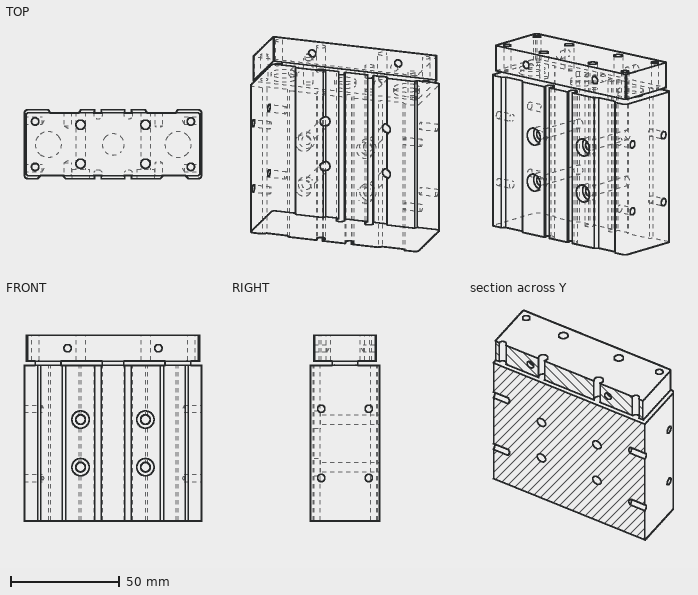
import cadquery as cq
import math

housing_width = 82.0
housing_depth = 32.0
housing_height = 72.0
housing_corner_radius = 1.75

shallow_groove_depth = 1.5
front_groove_offset = 28.35
front_groove_mouth = 13.0
front_groove_lean = 45.0
back_groove_offset = 22.4
back_groove_mouth = 15.0
back_groove_lean = 30.0

sensor_slot_offset = 7.0
sensor_slot_mouth = 3.0
sensor_channel_diameter = 4.0
sensor_channel_depth = 2.3

mount_hole_offset = 15.0
mount_hole_levels = (25.0, 47.0)
mount_hole_diameter = 4.3
mount_bore_diameter = 8.0
mount_bore_depth = 4.5

drill_tip_angle = 118.0
side_hole_offset = 11.0
side_hole_levels = (20.0, 52.0)
side_hole_diameter = 3.4
side_hole_depth = 8.0

plate_width = 80.0
plate_depth = 29.0
plate_thickness = 12.0
plate_corner_chamfer = 0.5
plate_gap = 2.0
plate_bottom = housing_height + plate_gap

corner_hole_offset_x = 36.0
corner_hole_offset_y = 10.5
corner_hole_diameter = 3.4
inner_hole_offset_x = 15.0
inner_hole_offset_y = 9.0
inner_hole_diameter = 4.3
edge_hole_offset = 21.0
edge_hole_diameter = 3.4
edge_hole_depth = 6.0

guide_rod_offset = 30.0
guide_rod_diameter = 12.0
piston_rod_diameter = 10.0


def drilled_hole(diameter, depth, entry, direction):
    """Blind hole cutter with a conical drill tip; depth is the straight part."""
    radius = diameter / 2
    tip_length = radius / math.tan(math.radians(drill_tip_angle / 2))
    up = cq.Vector(0, 0, 1)
    profile = cq.Workplane(cq.Plane(entry, xDir=up, normal=up.cross(cq.Vector(direction))))
    return (
        profile.polyline([(0, 0), (radius, 0), (radius, depth), (0, depth + tip_length)])
        .close()
        .revolve(360, (0, 0), (0, 1))
    )


def shallow_groove(center_x, mouth, lean, side):
    """Groove cutter in the front (side = -1) or back (side = 1) face."""
    face = side * housing_depth / 2
    floor = face - side * shallow_groove_depth
    half_mouth = mouth / 2
    half_floor = half_mouth - shallow_groove_depth * math.tan(math.radians(lean))
    outline = [
        (center_x - half_mouth, face),
        (center_x - half_floor, floor),
        (center_x + half_floor, floor),
        (center_x + half_mouth, face),
    ]
    return cq.Workplane("XY").polyline(outline).close().extrude(housing_height)


def sensor_slot(center_x, side):
    """Round channel with a narrow mouth in the front or back face."""
    face = side * housing_depth / 2
    channel_y = face - side * sensor_channel_depth
    channel = (
        cq.Workplane("XY")
        .center(center_x, channel_y)
        .circle(sensor_channel_diameter / 2)
        .extrude(housing_height)
    )
    mouth = (
        cq.Workplane("XY")
        .center(center_x, (face + channel_y) / 2)
        .rect(sensor_slot_mouth, sensor_channel_depth)
        .extrude(housing_height)
    )
    return channel.union(mouth)


def make_housing():
    housing = (
        cq.Workplane("XY")
        .rect(housing_width, housing_depth)
        .extrude(housing_height)
        .edges("|Z")
        .fillet(housing_corner_radius)
    )
    for hand in (-1, 1):
        housing = housing.cut(
            shallow_groove(hand * front_groove_offset, front_groove_mouth, front_groove_lean, -1)
        )
        housing = housing.cut(
            shallow_groove(hand * back_groove_offset, back_groove_mouth, back_groove_lean, 1)
        )
        for side in (-1, 1):
            housing = housing.cut(sensor_slot(hand * sensor_slot_offset, side))

    mount_points = [(hand * mount_hole_offset, z) for hand in (-1, 1) for z in mount_hole_levels]
    housing = (
        housing.copyWorkplane(cq.Workplane("XZ", origin=(0, -housing_depth / 2, 0)))
        .pushPoints(mount_points)
        .cboreHole(mount_hole_diameter, mount_bore_diameter, mount_bore_depth)
    )

    for end in (-1, 1):
        for side in (-1, 1):
            for z in side_hole_levels:
                entry = (end * housing_width / 2, side * side_hole_offset, z)
                housing = housing.cut(
                    drilled_hole(side_hole_diameter, side_hole_depth, entry, (-end, 0, 0))
                )
    return housing


def make_plate_with_rods():
    plate = (
        cq.Workplane("XY", origin=(0, 0, plate_bottom))
        .rect(plate_width, plate_depth)
        .extrude(plate_thickness)
        .edges("|Z")
        .chamfer(plate_corner_chamfer)
    )
    plate = (
        plate.faces(">Z").workplane()
        .rect(2 * corner_hole_offset_x, 2 * corner_hole_offset_y, forConstruction=True)
        .vertices()
        .hole(corner_hole_diameter)
    )
    plate = (
        plate.faces(">Z").workplane()
        .rect(2 * inner_hole_offset_x, 2 * inner_hole_offset_y, forConstruction=True)
        .vertices()
        .hole(inner_hole_diameter)
    )
    for side in (-1, 1):
        for hand in (-1, 1):
            entry = (
                hand * edge_hole_offset,
                side * plate_depth / 2,
                plate_bottom + plate_thickness / 2,
            )
            plate = plate.cut(drilled_hole(edge_hole_diameter, edge_hole_depth, entry, (0, -side, 0)))

    guide_rods = (
        cq.Workplane("XY", origin=(0, 0, housing_height))
        .pushPoints([(-guide_rod_offset, 0), (guide_rod_offset, 0)])
        .circle(guide_rod_diameter / 2)
        .extrude(plate_gap)
    )
    piston_rod = (
        cq.Workplane("XY", origin=(0, 0, housing_height))
        .circle(piston_rod_diameter / 2)
        .extrude(plate_gap)
    )
    return plate.union(guide_rods).union(piston_rod)


housing = make_housing()
plate_with_rods = make_plate_with_rods()
result = cq.Compound.makeCompound([housing.solids().val(), plate_with_rods.solids().val()])